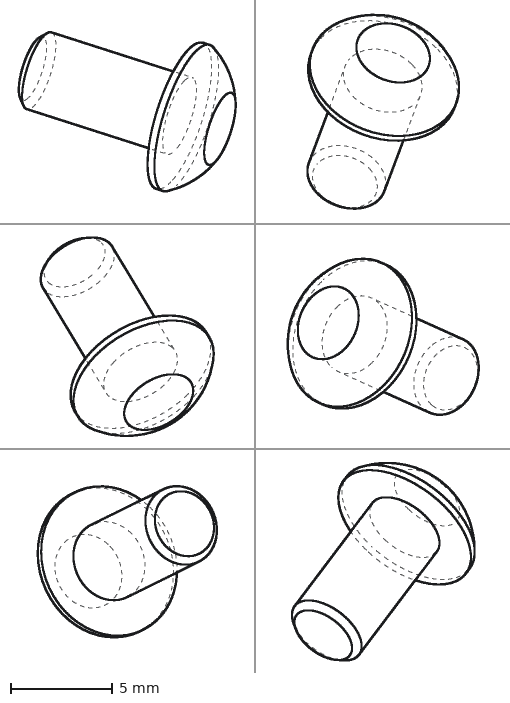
import cadquery as cq
import math

total_length = 10.2
head_diameter = 7.6
head_height = 2.2
rim_thickness = 0.38
crown_flat_diameter = 3.74
dome_bulge = 0.2
shank_diameter = 4.0
tip_chamfer = 0.35

tip_x = -total_length / 2
crown_x = total_length / 2
head_base_x = crown_x - head_height
rim_end_x = head_base_x + rim_thickness
head_radius = head_diameter / 2
crown_radius = crown_flat_diameter / 2


def make_shank():
    """Plain cylindrical shank with a chamfered tip."""
    shank_length = total_length - head_height
    shank = cq.Workplane("YZ", origin=(tip_x, 0, 0)).circle(shank_diameter / 2).extrude(shank_length)
    return shank.faces("<X").chamfer(tip_chamfer)


def make_head():
    """Button head: a thin straight rim, then a round dome cut off by a flat crown."""
    dome_length = crown_x - rim_end_x
    dome_drop = head_radius - crown_radius
    chord = math.hypot(dome_length, dome_drop)
    dome_mid = (
        (rim_end_x + crown_x) / 2 + dome_bulge * dome_drop / chord,
        (head_radius + crown_radius) / 2 + dome_bulge * dome_length / chord,
    )
    profile = (
        cq.Workplane("XY")
        .moveTo(head_base_x, 0)
        .lineTo(head_base_x, head_radius)
        .lineTo(rim_end_x, head_radius)
        .threePointArc(dome_mid, (crown_x, crown_radius))
        .lineTo(crown_x, 0)
        .close()
    )
    return profile.revolve(360, (0, 0, 0), (1, 0, 0))


result = make_shank().union(make_head())